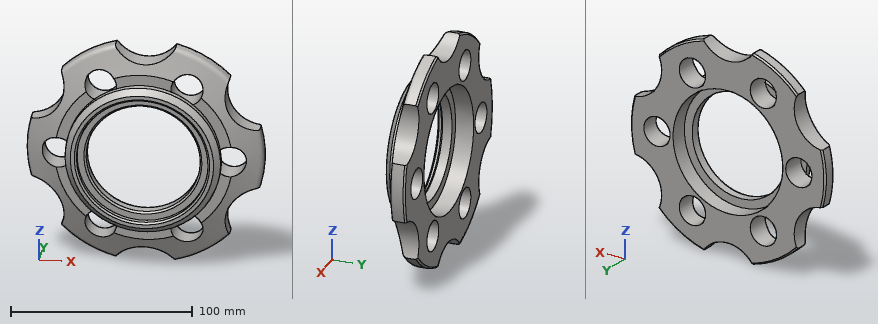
import cadquery as cq
import math

rim_radius = 66.0
flange_thickness = 14.4
total_thickness = 21.35
back_chamfer = 1.0
front_flat_radius = 49.5
cone_angle = 20.0
rim_fillet = 3.0

hub_radius = 43.3
hub_chamfer = 3.4

bore_radius = 31.75
front_recess_radius = 36.6
back_recess_radius = 37.1
front_recess_depth = 3.9
lip_width = 6.7
edge_chamfer = 1.1

grip_count = 6
scallop_radius = 20.4
scallop_centre_radius = 75.4
hole_diameter = 17.7
hole_circle_radius = 48.0

overcut = 1.0
selection_margin = 1.0


def revolve_profile(workplane):
    """Close a (Y, radius) profile and revolve it about the Y axis."""
    return workplane.close().revolve(360, (0, 0, 0), (1, 0, 0))


def make_flange():
    """Disc with a conical front, a rounded front rim and a chamfered back rim."""
    slope_drop = (rim_radius - front_flat_radius) * math.tan(math.radians(cone_angle))
    cone_rim_y = slope_drop - flange_thickness
    profile = (
        cq.Workplane("YZ")
        .moveTo(0, 0)
        .lineTo(0, rim_radius - back_chamfer)
        .lineTo(-back_chamfer, rim_radius)
        .lineTo(cone_rim_y, rim_radius)
        .lineTo(-flange_thickness, front_flat_radius)
        .lineTo(-flange_thickness, 0)
    )
    rim_edge = cq.selectors.BoxSelector(
        (-rim_radius - selection_margin, cone_rim_y - selection_margin, -rim_radius - selection_margin),
        (rim_radius + selection_margin, cone_rim_y + selection_margin, rim_radius + selection_margin),
    )
    return revolve_profile(profile).edges("%CIRCLE").edges(rim_edge).fillet(rim_fillet)


def around_axis(radius, first_angle):
    """Points (X, Z) equally spaced on a circle about the Y axis."""
    step = 360 / grip_count
    angles = [math.radians(first_angle + step * i) for i in range(grip_count)]
    return [(radius * math.cos(a), radius * math.sin(a)) for a in angles]


def make_cylinders(points, radius):
    """Cutters parallel to Y that run from behind the back face to the flange front plane."""
    return (
        cq.Workplane("XZ", origin=(0, overcut, 0))
        .pushPoints(points)
        .circle(radius)
        .extrude(flange_thickness + overcut)
    )


def make_hub():
    """Raised ring on the flange front with a chamfered outer edge."""
    profile = (
        cq.Workplane("YZ")
        .moveTo(-flange_thickness, 0)
        .lineTo(-flange_thickness, hub_radius)
        .lineTo(-total_thickness + hub_chamfer, hub_radius)
        .lineTo(-total_thickness, hub_radius - hub_chamfer)
        .lineTo(-total_thickness, 0)
    )
    return revolve_profile(profile)


def make_bore():
    """Stepped bore: front recess, narrower lip and back recess."""
    ledge_y = -(total_thickness - front_recess_depth)
    lip_back_y = ledge_y + lip_width
    profile = (
        cq.Workplane("YZ")
        .moveTo(-total_thickness, 0)
        .lineTo(-total_thickness, front_recess_radius + edge_chamfer)
        .lineTo(-total_thickness + edge_chamfer, front_recess_radius)
        .lineTo(ledge_y, front_recess_radius)
        .lineTo(ledge_y, bore_radius + edge_chamfer)
        .lineTo(ledge_y + edge_chamfer, bore_radius)
        .lineTo(lip_back_y, bore_radius)
        .lineTo(lip_back_y, back_recess_radius)
        .lineTo(0, back_recess_radius)
        .lineTo(0, 0)
    )
    return revolve_profile(profile)


half_pitch = 180 / grip_count
scallops = make_cylinders(around_axis(scallop_centre_radius, half_pitch), scallop_radius)
holes = make_cylinders(around_axis(hole_circle_radius, 0), hole_diameter / 2)

result = make_flange().cut(scallops).cut(holes).union(make_hub()).cut(make_bore())